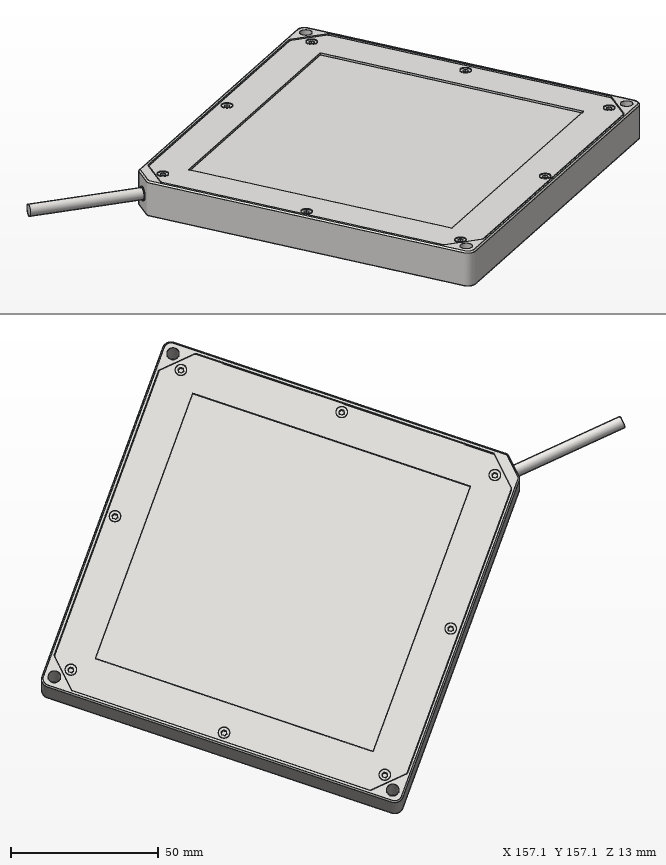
import cadquery as cq
import math

overall_length = 157.1

side = 130.1
half_side = side / 2
height = 13.0
corner_radius = 3.0
cable_corner_cut = 6.8
cut_edge_radius = 1.5
rim_chamfer = 0.55

cover_side = 127.0
cover_corner_cut = 9.6
cover_recess = 0.5
cover_thickness = 0.8
cover_gap = 0.2

window_side = 100.1

mount_hole_diameter = 4.2
mount_hole_offset = 61.0

screw_bore_diameter = 4.0
screw_bore_depth = 0.3
socket_width = 2.0
socket_depth = 1.1
corner_screw_offset = 56.5
side_screw_offset = 60.5

cable_diameter = 4.2
cable_height = 6.1
cable_reach = overall_length - half_side
collar_diameter = 5.0
collar_length = 0.3

cover_top = height - cover_recess
cover_bottom = cover_top - cover_thickness
screw_head_top = cover_top - screw_bore_depth


def make_housing():
    """Box with three rounded corners, the cable corner cut and a bevelled top rim."""
    box = cq.Workplane("XY").box(side, side, height, centered=(True, True, False))
    box = box.edges("|Z and (>X or >Y)").fillet(corner_radius)
    box = box.edges("|Z and <X and <Y").chamfer(cable_corner_cut)
    cut_zone_end = -half_side + 2 * cable_corner_cut
    cut_edges = cq.selectors.BoxSelector(
        (-half_side - cable_corner_cut, -half_side - cable_corner_cut, 0),
        (cut_zone_end, cut_zone_end, height),
    )
    box = box.edges("|Z").edges(cut_edges).fillet(cut_edge_radius)
    return box.faces(">Z").edges().chamfer(rim_chamfer)


def make_cut_square(square_side, corner_cut, bottom, top):
    """Square block with four cut corners between two heights."""
    plane = cq.Workplane("XY").workplane(offset=bottom)
    return plane.rect(square_side, square_side).extrude(top - bottom).edges("|Z").chamfer(corner_cut)


def make_cover_seat():
    """Seat for the cover, wider than it along the sides and meeting it at the cut corners."""
    seat_side = cover_side + 2 * cover_gap
    seat_corner_cut = cover_corner_cut + 2 * cover_gap
    return make_cut_square(seat_side, seat_corner_cut, cover_bottom, height)


def make_cover():
    """Flat cover plate lying in its seat."""
    return make_cut_square(cover_side, cover_corner_cut, cover_bottom, cover_top)


def make_window():
    """Square opening at the middle of the cover."""
    plane = cq.Workplane("XY").workplane(offset=cover_bottom)
    return plane.rect(window_side, window_side).extrude(cover_thickness)


def make_mount_holes():
    """Through holes in every corner except the cable corner."""
    places = [(x, y) for x in (-1, 1) for y in (-1, 1) if (x, y) != (-1, -1)]
    points = [(x * mount_hole_offset, y * mount_hole_offset) for x, y in places]
    return cq.Workplane("XY").pushPoints(points).circle(mount_hole_diameter / 2).extrude(height)


def make_screw_recesses():
    """Head bores with a hexagonal drive socket at the corners and side middles of the cover."""
    corners = [(x * corner_screw_offset, y * corner_screw_offset) for x in (-1, 1) for y in (-1, 1)]
    side_directions = ((1, 0), (-1, 0), (0, 1), (0, -1))
    sides = [(x * side_screw_offset, y * side_screw_offset) for x, y in side_directions]
    points = corners + sides
    head_plane = cq.Workplane("XY").workplane(offset=screw_head_top).pushPoints(points)
    bores = head_plane.circle(screw_bore_diameter / 2).extrude(screw_bore_depth)
    sockets = head_plane.polygon(6, socket_width).extrude(-socket_depth)
    return bores.union(sockets)


def make_diagonal_cylinder(diameter, length):
    """Cylinder from inside the housing to a given length past the cut corner face."""
    root = half_side - cable_corner_cut
    root_to_face = cable_corner_cut / math.sqrt(2)
    plane = cq.Plane(origin=(-root, -root, cable_height), xDir=(1, -1, 0), normal=(-1, -1, 0))
    return cq.Workplane(plane).circle(diameter / 2).extrude(root_to_face + length)


def make_cable():
    """Cable with a short collar where it leaves the housing."""
    face_middle = half_side - cable_corner_cut / 2
    end_middle = cable_reach - cable_diameter / 2 / math.sqrt(2)
    cable_length = (end_middle - face_middle) * math.sqrt(2)
    cable = make_diagonal_cylinder(cable_diameter, cable_length)
    return cable.union(make_diagonal_cylinder(collar_diameter, collar_length))


housing = make_housing().cut(make_cover_seat())
housing = housing.union(make_cover()).cut(make_window())
housing = housing.cut(make_mount_holes()).cut(make_screw_recesses())
result = housing.union(make_cable())